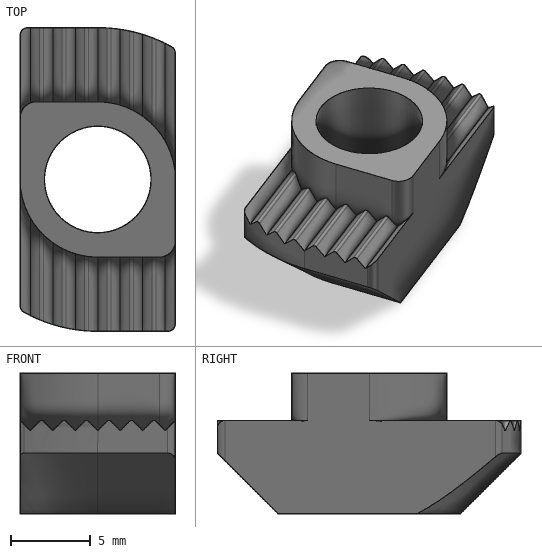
import cadquery as cq
import math

width = 9.7
length = 19.0
height = 8.8
half_width = width / 2
half_length = length / 2

bevel_height = 3.8
base_corner_radius = 0.5

tooth_pitch = 1.4
valley_height = 5.2
crest_radius = 0.17
outer_valley_index = 3

boss_corner_radius = 1.0
bore_diameter = 6.65


def serrated_block():
    """Block with 45 degree teeth running along Y, a valley at the centre and rounded crests."""
    crest_offset = crest_radius * math.sin(math.radians(45))
    sharp_crest = valley_height + tooth_pitch / 2
    crest_top = sharp_crest - crest_radius * (math.sqrt(2) - 1)
    flank_top = sharp_crest - crest_offset
    outer_valley = outer_valley_index * tooth_pitch
    edge_height = valley_height + half_width - outer_valley

    outline = cq.Workplane("XZ", origin=(0, half_length, 0))
    outline = outline.moveTo(-half_width, 0).lineTo(-half_width, edge_height)
    outline = outline.lineTo(-outer_valley, valley_height)
    for index in range(-outer_valley_index, outer_valley_index):
        crest_x = (index + 0.5) * tooth_pitch
        outline = outline.lineTo(crest_x - crest_offset, flank_top)
        outline = outline.threePointArc((crest_x, crest_top), (crest_x + crest_offset, flank_top))
        outline = outline.lineTo((index + 1) * tooth_pitch, valley_height)
    outline = outline.lineTo(half_width, edge_height).lineTo(half_width, 0).close()
    return outline.extrude(length)


def base_plan():
    """Plan of the base: each end is straight on one half and swings about the centre on the other."""
    swing_y = math.sqrt(half_length**2 - half_width**2)
    swing_angle = math.atan2(swing_y, half_width)
    middle_angle = (swing_angle + math.pi / 2) / 2
    middle_x = half_length * math.cos(middle_angle)
    middle_y = half_length * math.sin(middle_angle)
    return (
        cq.Workplane("XY")
        .moveTo(-half_width, half_length)
        .lineTo(0, half_length)
        .threePointArc((middle_x, middle_y), (half_width, swing_y))
        .lineTo(half_width, -half_length)
        .lineTo(0, -half_length)
        .threePointArc((-middle_x, -middle_y), (-half_width, -swing_y))
        .close()
        .extrude(height)
        .edges("|Z and (<X or >X)")
        .fillet(base_corner_radius)
    )


def bevel_envelope():
    """Conical bevel under the swung halves and flat bevels under the straight halves."""
    bottom_reach = half_length - bevel_height
    side = [
        (0, 0),
        (bottom_reach, 0),
        (half_length, bevel_height),
        (half_length, height),
        (0, height),
    ]
    cone = cq.Workplane("XZ").polyline(side).close().revolve(360, (0, 0), (0, 1))
    straight_half = cq.Workplane("YZ").polyline(side).close().extrude(-half_width)
    opposite_half = straight_half.rotate((0, 0, 0), (0, 0, 1), 180)
    return cone.union(straight_half).union(opposite_half)


def boss():
    """Square boss with two fully rounded corners and two slightly rounded ones."""
    block = cq.Workplane("XY").workplane(offset=bevel_height).rect(width, width).extrude(height - bevel_height)
    small_corners = block.edges("|Z and (<(1, -1, 0) or >(1, -1, 0))").fillet(boss_corner_radius)
    swing = cq.Workplane("XY").circle(half_width).extrude(height)
    straight_corners = (
        cq.Workplane("XY")
        .pushPoints([(-half_width / 2, half_width / 2), (half_width / 2, -half_width / 2)])
        .rect(half_width, half_width)
        .extrude(height)
    )
    return small_corners.intersect(swing.union(straight_corners))


base = serrated_block().intersect(base_plan()).intersect(bevel_envelope())
bore = cq.Workplane("XY").circle(bore_diameter / 2).extrude(height)
result = base.union(boss()).cut(bore)